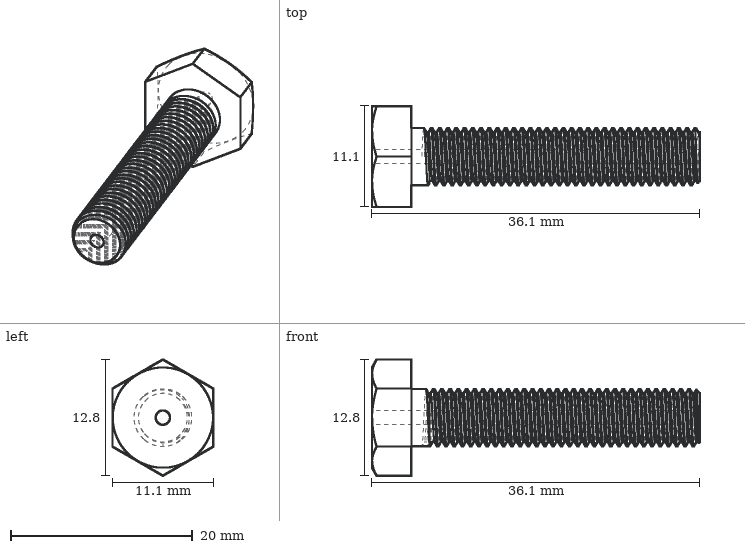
import cadquery as cq
import math

total_length = 36.07
across_corners = 12.8
head_height = 4.33
shank_diameter = 6.35
bore_diameter = 1.55

head_face_diameter = 11.05
head_chamfer_angle = 30.0

turns_per_diameter = 7
pitch = shank_diameter / turns_per_diameter
flank_half_angle = 30.0
crest_flat = pitch / 8
root_flat = pitch / 4
flank_slope = math.tan(math.radians(flank_half_angle))
thread_depth = (pitch - crest_flat - root_flat) / 2 / flank_slope

groove_start = 5.88
first_crest = groove_start + pitch / 2

radial_clearance = 0.05
ridge_overlap = 0.05

shank_radius = shank_diameter / 2
root_radius = shank_radius - thread_depth
buried_radius = root_radius - ridge_overlap


def hex_head():
    """Hexagonal prism with corners at +Z and -Z and its outer corners coned off."""
    prism = cq.Workplane("YZ").polygon(6, across_corners).extrude(head_height)
    prism = prism.rotate((0, 0, 0), (1, 0, 0), 90)
    face_radius = head_face_diameter / 2
    corner_radius = across_corners / 2
    cone_depth = (corner_radius - face_radius) * math.tan(math.radians(head_chamfer_angle))
    envelope = (
        cq.Workplane("XY")
        .polyline([
            (0, 0),
            (0, face_radius),
            (cone_depth, corner_radius),
            (head_height, corner_radius),
            (head_height, 0),
        ])
        .close()
        .revolve(360, (0, 0, 0), (1, 0, 0))
    )
    return prism.intersect(envelope)


def half_groove(radius):
    """Half of the axial width of the thread groove at a given radius."""
    return root_flat / 2 + (radius - root_radius) * flank_slope


def helical_bar(profile, start_x, length):
    """Right-handed helical sweep of a (radius, axial) profile, starting on the -Z side."""
    helix = cq.Wire.makeHelix(pitch, length, shank_radius)
    bar = cq.Workplane("XZ").polyline(profile).close().sweep(cq.Workplane(helix), isFrenet=True)
    return bar.rotate((0, 0, 0), (0, 1, 0), 90).translate((start_x, 0, 0))


def cylinder_to(radius, end_x):
    """Round bar from the underside of the head to end_x."""
    return cq.Workplane("YZ").workplane(offset=head_height).circle(radius).extrude(end_x - head_height)


def plain_shank():
    """Full-diameter shank whose end climbs along the flank of the first thread turn."""
    outer_radius = shank_radius + radial_clearance
    far_side = pitch / 2
    beyond_flank = [
        (buried_radius, -half_groove(buried_radius)),
        (outer_radius, -half_groove(outer_radius)),
        (outer_radius, far_side),
        (buried_radius, far_side),
    ]
    bar = cylinder_to(shank_radius, first_crest)
    return bar.cut(helical_bar(beyond_flank, groove_start, pitch))


def thread_ridge():
    """Helical ridge from the shank to the tip, trimmed by the tip chamfer."""
    half_crest = crest_flat / 2
    half_base = half_crest + (shank_radius - buried_radius) * flank_slope
    ridge_profile = [
        (buried_radius, -half_base),
        (shank_radius, -half_crest),
        (shank_radius, half_crest),
        (buried_radius, half_base),
    ]
    ridge = helical_bar(ridge_profile, first_crest, total_length + pitch - first_crest)
    envelope_radius = shank_radius + radial_clearance
    envelope = cylinder_to(envelope_radius, total_length).faces(">X").chamfer(envelope_radius - root_radius)
    return ridge.intersect(envelope)


core = cylinder_to(root_radius, total_length)
bore = cq.Workplane("YZ").circle(bore_diameter / 2).extrude(total_length)
result = hex_head().union(core.union(thread_ridge()).union(plain_shank())).cut(bore)